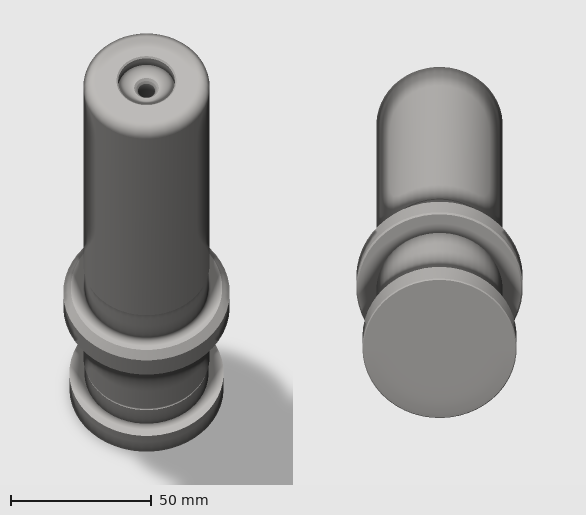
import cadquery as cq

total_height = 190.0

flange_radius = 27.4
flange_height = 10.0
flange_edge_chamfer = 0.4
disc_height = 18.5

pin_radius = 22.5
relief_radius = 22.0
pin_end_chamfer = 1.5

collar_radius = 29.55
collar_bottom = 50.4
collar_top = 62.3
collar_top_chamfer = 2.7
collar_bottom_chamfer = 0.5
undercut_height = 1.5
undercut_depth = 1.1
relief_top = 77.3
root_fillet = 1.0
tip_radius = 4.0

recess_radius = 10.0
recess_depth = 4.5
recess_chamfer = 0.5
bore_mouth_radius = 4.4
bore_throat_radius = 3.6
bore_throat_depth = 0.8
bore_radius = 3.0
bore_taper_end_depth = 1.7
bore_depth = 15.2
bore_cone_height = 1.9


def make_retaining_disc():
    """Round flange and neck, flat on both ends."""
    flange = cq.Workplane("XY").circle(flange_radius).extrude(flange_height)
    flange = flange.faces("<Z").edges().chamfer(flange_edge_chamfer)
    neck = cq.Workplane("XY").circle(relief_radius).extrude(disc_height)
    return flange.union(neck)


def make_pin_body():
    """Solid of revolution for the outside of the pin; profile in radius and Z."""
    undercut_radius = pin_radius - undercut_depth
    undercut_bottom = collar_bottom - undercut_height
    profile = (
        cq.Workplane("XZ")
        .moveTo(0, disc_height)
        .lineTo(pin_radius - pin_end_chamfer, disc_height)
        .lineTo(pin_radius, disc_height + pin_end_chamfer)
        .lineTo(pin_radius, undercut_bottom)
        .lineTo(undercut_radius, undercut_bottom + undercut_depth)
        .lineTo(undercut_radius, collar_bottom)
        .lineTo(collar_radius - collar_bottom_chamfer, collar_bottom)
        .lineTo(collar_radius, collar_bottom + collar_bottom_chamfer)
        .lineTo(collar_radius, collar_top - collar_top_chamfer)
        .lineTo(collar_radius - collar_top_chamfer, collar_top)
        .lineTo(relief_radius + root_fillet, collar_top)
        .radiusArc((relief_radius, collar_top + root_fillet), root_fillet)
        .lineTo(relief_radius, relief_top)
        .lineTo(pin_radius, relief_top)
        .lineTo(pin_radius, total_height - tip_radius)
        .radiusArc((pin_radius - tip_radius, total_height), -tip_radius)
        .lineTo(0, total_height)
        .close()
    )
    return profile.revolve(360, (0, 0, 0), (0, 1, 0))


def make_tip_hole():
    """Cutter for the chamfered recess, its tapered central bore and the drill cone."""
    recess_floor = total_height - recess_depth
    bore_floor = recess_floor - bore_depth
    profile = (
        cq.Workplane("XZ")
        .moveTo(0, total_height)
        .lineTo(recess_radius + recess_chamfer, total_height)
        .lineTo(recess_radius, total_height - recess_chamfer)
        .lineTo(recess_radius, recess_floor)
        .lineTo(bore_mouth_radius, recess_floor)
        .lineTo(bore_throat_radius, recess_floor - bore_throat_depth)
        .lineTo(bore_radius, recess_floor - bore_taper_end_depth)
        .lineTo(bore_radius, bore_floor)
        .lineTo(0, bore_floor - bore_cone_height)
        .close()
    )
    return profile.revolve(360, (0, 0, 0), (0, 1, 0))


retaining_disc = make_retaining_disc()
guide_pin = make_pin_body().cut(make_tip_hole())

result = cq.Compound.makeCompound([guide_pin.val(), *retaining_disc.solids().vals()])